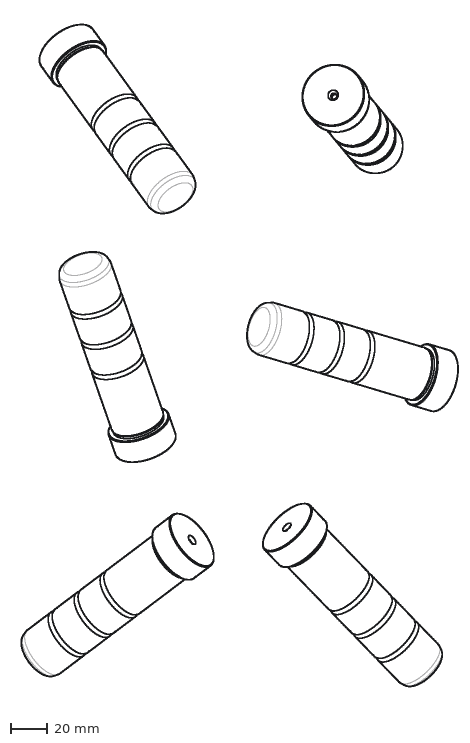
import cadquery as cq
import math

total_length = 120.0
head_radius = 17.5
head_length = 14.0
head_chamfer = 0.5
shaft_radius = 15.0

relief_depth = 0.4
relief_width = 1.3
relief_taper_length = 0.7

first_groove_x = 55.0
groove_pitch = 20.0
groove_count = 3
groove_width = 3.0
groove_depth = 0.7

lead_in_start_x = 115.0
lead_in_angle = math.radians(15)
nose_radius = 3.4

countersink_radius = 2.9
countersink_half_angle = math.radians(30)
pilot_radius = 1.7
pilot_length = 3.0
drill_half_angle = math.radians(59)


def make_head():
    head = cq.Workplane("YZ").circle(head_radius).extrude(head_length)
    return head.edges().chamfer(head_chamfer)


def make_shaft():
    """Revolve the half outline of the shaft, including relief, grooves and tip."""
    relief_radius = shaft_radius - relief_depth
    relief_end_x = head_length + relief_width
    outline = (
        cq.Workplane("XY")
        .moveTo(head_length, 0)
        .lineTo(head_length, relief_radius)
        .lineTo(relief_end_x, relief_radius)
        .lineTo(relief_end_x + relief_taper_length, shaft_radius)
    )

    for index in range(groove_count):
        groove_x = first_groove_x + index * groove_pitch
        outline = outline.lineTo(groove_x - groove_width / 2, shaft_radius).threePointArc(
            (groove_x, shaft_radius - groove_depth),
            (groove_x + groove_width / 2, shaft_radius),
        )

    nose_centre_x = total_length - nose_radius
    nose_start_x = nose_centre_x + nose_radius * math.sin(lead_in_angle)
    nose_start_radius = shaft_radius - (nose_start_x - lead_in_start_x) * math.tan(lead_in_angle)
    nose_centre_radius = nose_start_radius - nose_radius * math.cos(lead_in_angle)
    middle_angle = (lead_in_angle + math.pi / 2) / 2
    nose_middle = (
        nose_centre_x + nose_radius * math.sin(middle_angle),
        nose_centre_radius + nose_radius * math.cos(middle_angle),
    )
    outline = (
        outline.lineTo(lead_in_start_x, shaft_radius)
        .lineTo(nose_start_x, nose_start_radius)
        .threePointArc(nose_middle, (total_length, nose_centre_radius))
        .lineTo(total_length, 0)
        .close()
    )
    return outline.revolve(360, (0, 0, 0), (1, 0, 0))


def make_centre_hole():
    """Countersink, pilot bore and conical drill point, opening at the rear face."""
    countersink_depth = (countersink_radius - pilot_radius) / math.tan(countersink_half_angle)
    pilot_end_x = countersink_depth + pilot_length
    drill_point_x = pilot_end_x + pilot_radius / math.tan(drill_half_angle)
    return (
        cq.Workplane("XY")
        .polyline([
            (0, 0),
            (0, countersink_radius),
            (countersink_depth, pilot_radius),
            (pilot_end_x, pilot_radius),
            (drill_point_x, 0),
        ])
        .close()
        .revolve(360, (0, 0, 0), (1, 0, 0))
    )


result = make_head().union(make_shaft()).cut(make_centre_hole())